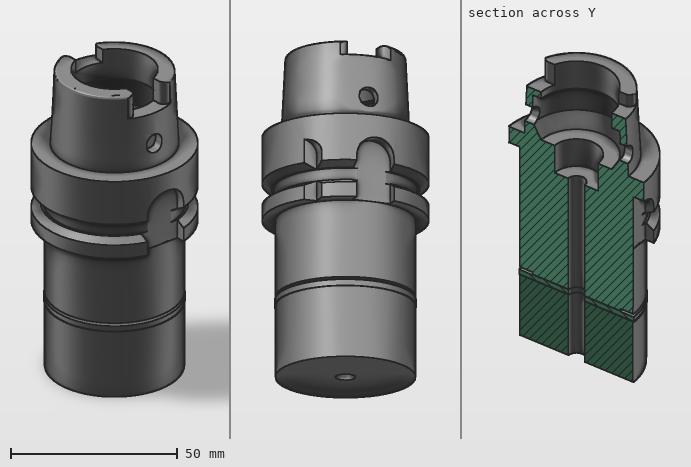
import cadquery as cq
import math

total_height = 100.0
taper_length = 25.0
flange_thickness = 26.0
nut_height = 22.2
ring_thickness = 1.9
neck_length = 0.9

ring_bottom_z = nut_height
ring_top_z = ring_bottom_z + ring_thickness
shank_bottom_z = ring_top_z + neck_length
flange_top_z = total_height - taper_length
flange_bottom_z = flange_top_z - flange_thickness

flange_radius = 25.0
shank_radius = 21.0
neck_radius = 16.2
nut_radius = 21.0
ring_radius = 21.2
taper_base_radius = 19.3
taper_slope = 1 / 20
taper_top_radius = taper_base_radius - taper_slope * taper_length
taper_rim_fillet = 1.0

groove_radius = 21.5
groove_drop = 18.0
groove_center_z = flange_top_z - groove_drop
groove_floor_width = 3.8
groove_flank_height = 1.6
groove_flank_angle = math.radians(30)
groove_flank_radius = flange_radius - groove_flank_height / math.tan(groove_flank_angle)

bore_radius = 13.0
bore_lip_length = 10.0
undercut_radius = 16.0
undercut_depth = 20.0
undercut_z = total_height - undercut_depth
undercut_cone_height = 5.0
bore_floor_z = undercut_z - undercut_cone_height
socket_radius = 8.0
socket_depth = 10.0
coolant_radius = 3.0

drive_slots = [(-1, 4.4), (1, 7.5)]
drive_slot_width = 10.5
drive_slot_corner_radius = 2.0

cross_hole_radius = 3.0
cross_hole_rise = 7.5
cross_hole_z = flange_top_z + cross_hole_rise

key_slots = [(-1, 12.0), (1, 14.0)]
key_slot_arc_z = 62.0
key_slot_floor = shank_radius

notch_floor = 15.6
notch_width = 9.0
notch_near_wall_y = 15.5
notch_arc_z = 63.3


def outer_profile():
    """Turned outline of the holder, from the neck up to the taper rim."""
    groove_bottom_z = groove_center_z - groove_floor_width / 2
    groove_top_z = groove_center_z + groove_floor_width / 2
    return (
        cq.Workplane("XZ")
        .moveTo(0, ring_top_z)
        .lineTo(neck_radius, ring_top_z)
        .lineTo(neck_radius, shank_bottom_z)
        .lineTo(shank_radius, shank_bottom_z)
        .lineTo(shank_radius, flange_bottom_z)
        .lineTo(flange_radius, flange_bottom_z)
        .lineTo(flange_radius, groove_bottom_z - groove_flank_height)
        .lineTo(groove_flank_radius, groove_bottom_z)
        .lineTo(groove_radius, groove_bottom_z)
        .lineTo(groove_radius, groove_top_z)
        .lineTo(groove_flank_radius, groove_top_z)
        .lineTo(flange_radius, groove_top_z + groove_flank_height)
        .lineTo(flange_radius, flange_top_z)
        .lineTo(taper_base_radius, flange_top_z)
        .lineTo(taper_top_radius, total_height)
        .lineTo(0, total_height)
        .close()
    )


def bore():
    """Undercut bore, socket and coolant hole, as one turned solid."""
    socket_floor_z = bore_floor_z - socket_depth
    return (
        cq.Workplane("XZ")
        .moveTo(0, ring_top_z)
        .lineTo(coolant_radius, ring_top_z)
        .lineTo(coolant_radius, socket_floor_z)
        .lineTo(socket_radius, socket_floor_z)
        .lineTo(socket_radius, bore_floor_z)
        .lineTo(bore_radius, bore_floor_z)
        .lineTo(undercut_radius, undercut_z)
        .lineTo(undercut_radius, total_height - bore_lip_length)
        .lineTo(bore_radius, total_height - bore_lip_length)
        .lineTo(bore_radius, total_height)
        .lineTo(0, total_height)
        .close()
        .revolve(360, (0, 0, 0), (0, 1, 0))
    )


def drive_slot(direction, depth):
    """Slot across one side of the taper rim, flaring in arcs tangent to the rim circle."""
    floor_z = total_height - depth
    half_width = drive_slot_width / 2
    corner_radius = drive_slot_corner_radius
    arc_center_y = half_width + corner_radius
    arc_center_x = math.sqrt((taper_top_radius - corner_radius) ** 2 - arc_center_y**2)
    tangent_angle = math.atan2(arc_center_y, arc_center_x)
    mid_angle = (tangent_angle - math.pi / 2) / 2

    def corner_point(angle):
        x = arc_center_x + corner_radius * math.cos(angle)
        y = arc_center_y + corner_radius * math.sin(angle)
        return direction * x, y

    mouth_y = corner_point(tangent_angle)[1]
    half_slot = (
        cq.Workplane("XY", origin=(0, 0, floor_z))
        .lineTo(0, half_width)
        .lineTo(*corner_point(-math.pi / 2))
        .threePointArc(corner_point(mid_angle), corner_point(tangent_angle))
        .lineTo(direction * flange_radius, mouth_y)
        .lineTo(direction * flange_radius, 0)
        .close()
        .extrude(depth)
    )
    return half_slot.union(half_slot.mirror("XZ"))


def round_topped_slot(direction, floor, center_y, width, arc_z):
    """Slot rising from the flange underside to a round end, with its floor at X = direction * floor."""
    half_width = width / 2
    depth = flange_radius - floor
    return (
        cq.Workplane("YZ", origin=(direction * floor, center_y, 0))
        .moveTo(-half_width, flange_bottom_z)
        .lineTo(half_width, flange_bottom_z)
        .lineTo(half_width, arc_z)
        .threePointArc((0, arc_z + half_width), (-half_width, arc_z))
        .close()
        .extrude(direction * depth)
    )


def make_holder():
    body = outer_profile().revolve(360, (0, 0, 0), (0, 1, 0)).cut(bore())

    body = body.faces(">Z").edges(cq.selectors.RadiusNthSelector(-1)).fillet(taper_rim_fillet)

    for direction, depth in drive_slots:
        body = body.cut(drive_slot(direction, depth))

    body = body.cut(
        cq.Workplane("YZ")
        .center(0, cross_hole_z)
        .circle(cross_hole_radius)
        .extrude(flange_radius, both=True)
    )

    for direction, width in key_slots:
        body = body.cut(round_topped_slot(direction, key_slot_floor, 0, width, key_slot_arc_z))
    notch_center_y = notch_near_wall_y + notch_width / 2
    return body.cut(round_topped_slot(-1, notch_floor, notch_center_y, notch_width, notch_arc_z))


def make_ring():
    return (
        cq.Workplane("XY", origin=(0, 0, ring_bottom_z))
        .circle(ring_radius)
        .circle(coolant_radius)
        .extrude(ring_thickness)
    )


def make_nut():
    return cq.Workplane("XY").circle(nut_radius).circle(coolant_radius).extrude(nut_height)


holder = make_holder()
ring = make_ring()
nut = make_nut()

result = cq.Compound.makeCompound([holder.val(), ring.val(), nut.val()])